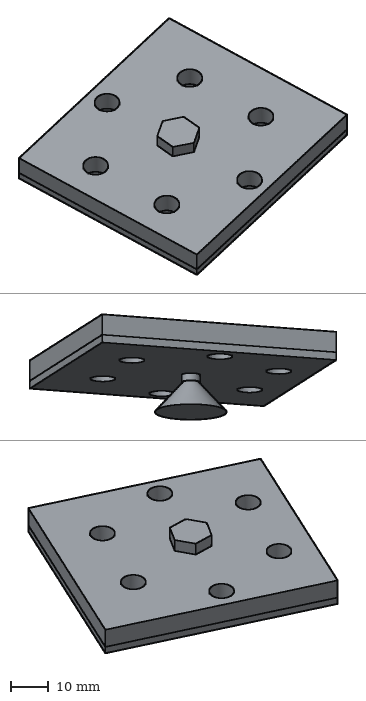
import cadquery as cq
import math

plate_width = 59.2
plate_length = 65.5
top_plate_thickness = 5.55
bottom_plate_thickness = 2.1

axis_x = 0.1
axis_y = -2.2

hole_count = 6
hole_diameter = 6.6
hole_circle_radius = 23.7

head_across_flats = 10.0
head_height = 3.55
head_turn = -7.0
shank_diameter = 4.9
shank_exposed_length = 1.95

foot_height = 8.05
foot_base_diameter = 19.0
foot_top_diameter = 4.25

bottom_plate_z = foot_height + shank_exposed_length
top_plate_z = bottom_plate_z + bottom_plate_thickness
head_z = top_plate_z + top_plate_thickness


def make_plate(base_z, thickness):
    """Rectangular plate with a ring of mounting holes and a close-fitting bolt hole."""
    plate = (
        cq.Workplane("XY", origin=(0, 0, base_z))
        .rect(plate_width, plate_length)
        .extrude(thickness)
    )
    holes = (
        cq.Workplane("XY", origin=(axis_x, axis_y, base_z))
        .polarArray(hole_circle_radius, 0, 360, hole_count)
        .circle(hole_diameter / 2)
        .extrude(thickness)
    )
    bolt_hole = (
        cq.Workplane("XY", origin=(axis_x, axis_y, base_z))
        .circle(shank_diameter / 2)
        .extrude(thickness)
    )
    return plate.cut(holes).cut(bolt_hole)


def make_bolt():
    """Hexagon head on a shank that passes through both plates down to the foot."""
    head_across_corners = head_across_flats / math.cos(math.pi / 6)
    head = (
        cq.Workplane("XY", origin=(axis_x, axis_y, head_z))
        .transformed(rotate=(0, 0, head_turn))
        .polygon(6, head_across_corners)
        .extrude(head_height)
    )
    shank = (
        cq.Workplane("XY", origin=(axis_x, axis_y, foot_height))
        .circle(shank_diameter / 2)
        .extrude(head_z - foot_height)
    )
    return head.union(shank)


def make_foot():
    """Solid cone that widens downward from the end of the shank."""
    return (
        cq.Workplane("XZ", origin=(axis_x, axis_y, 0))
        .moveTo(0, 0)
        .lineTo(foot_base_diameter / 2, 0)
        .lineTo(foot_top_diameter / 2, foot_height)
        .lineTo(0, foot_height)
        .close()
        .revolve(360, (0, 0), (0, 1))
    )


bottom_plate = make_plate(bottom_plate_z, bottom_plate_thickness)
top_plate = make_plate(top_plate_z, top_plate_thickness)
bolt = make_bolt()
foot = make_foot()

result = cq.Compound.makeCompound([bottom_plate.val(), top_plate.val(), bolt.val(), foot.val()])